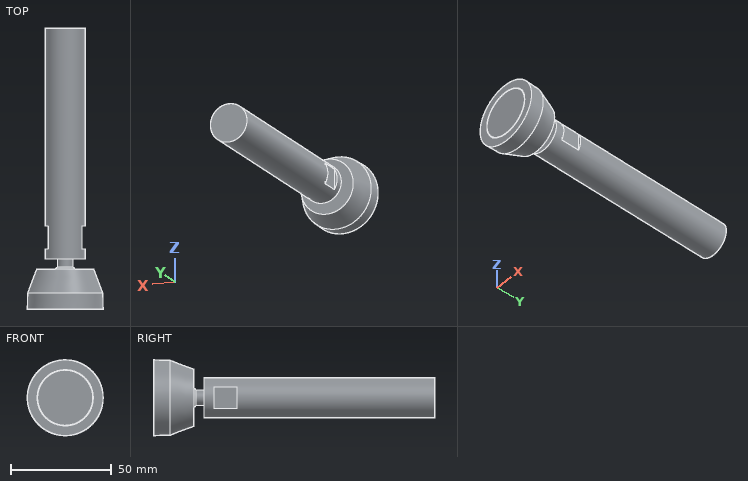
import cadquery as cq

TOTAL_LENGTH = 140.0

ROD_DIAMETER = 20.0
ROD_START = 25.0
NECK_DIAMETER = 7.8
FLARE_START = 21.1
DISC_DIAMETER = 27.5

FLATS_WIDTH = 17.0
FLATS_START = 30.1
FLATS_LENGTH = 11.3

FOOT_HEIGHT = 20.0
SKIRT_HEIGHT = 8.1
FOOT_TOP_DIAMETER = 28.5
SHOULDER_DIAMETER = 37.5
GROUND_DIAMETER = 38.0
BORE_DIAMETER = 28.0


def flare_radius(y):
    """Radius of the 45 degree flare at height y."""
    return NECK_DIAMETER / 2 + FLARE_START - y


def flare_height(radius):
    """Height at which the 45 degree flare has the given radius."""
    return FLARE_START + NECK_DIAMETER / 2 - radius


def revolve_about_y(points):
    """Turn a closed (radius, y) outline about the Y axis."""
    return cq.Workplane("XY").polyline(points).close().revolve(360, (0, 0, 0), (0, 1, 0))


def cut_wrench_flats(stem):
    """Cut two parallel flats across X near the foot end of the rod."""
    for side in (-1, 1):
        cutter_x = side * (FLATS_WIDTH + ROD_DIAMETER) / 2
        cutter_y = FLATS_START + FLATS_LENGTH / 2
        cutter = cq.Workplane("XY").box(ROD_DIAMETER, FLATS_LENGTH, ROD_DIAMETER)
        stem = stem.cut(cutter.translate((cutter_x, cutter_y, 0)))
    return stem


def make_stem():
    """Rod with wrench flats, necked down and flared out to the base disc."""
    rod_radius = ROD_DIAMETER / 2
    neck_radius = NECK_DIAMETER / 2
    disc_radius = DISC_DIAMETER / 2
    stem = revolve_about_y([
        (0, 0),
        (disc_radius, 0),
        (disc_radius, flare_height(disc_radius)),
        (neck_radius, FLARE_START),
        (neck_radius, ROD_START),
        (rod_radius, ROD_START),
        (rod_radius, TOTAL_LENGTH),
        (0, TOTAL_LENGTH),
    ])
    return cut_wrench_flats(stem)


def make_foot():
    """Tapered ring seated on the flare, with a clearance bore around the disc."""
    bore_radius = BORE_DIAMETER / 2
    return revolve_about_y([
        (bore_radius, 0),
        (GROUND_DIAMETER / 2, 0),
        (SHOULDER_DIAMETER / 2, SKIRT_HEIGHT),
        (FOOT_TOP_DIAMETER / 2, FOOT_HEIGHT),
        (flare_radius(FOOT_HEIGHT), FOOT_HEIGHT),
        (bore_radius, flare_height(bore_radius)),
    ])


stem = make_stem()
foot = make_foot()
result = cq.Compound.makeCompound([stem.val(), foot.val()])